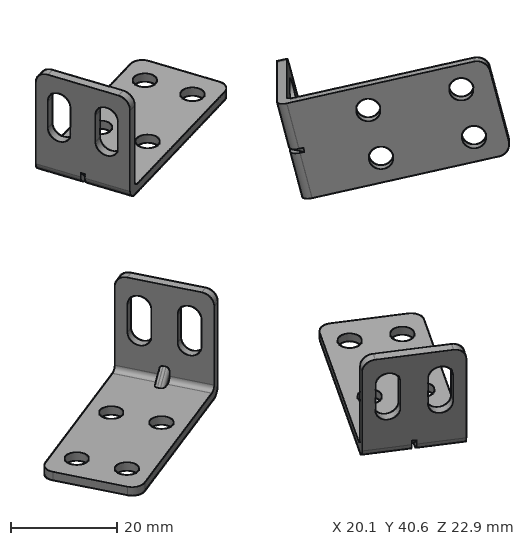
import cadquery as cq

width = 20.08
length = 40.65
height = 22.85
thickness = 1.9
outer_bend_radius = 1.9
inner_bend_radius = 1.15
corner_radius = 2.5

column_spacing = 10.1
hole_diameter = 4.6
hole_row_spacing = 18.0
hole_end_distance = 6.15
slot_width = 4.8
slot_length = 10.8
slot_top_distance = 9.0

rib_width = 2.15
rib_leg = 3.05
rib_edge_radius = 0.77
notch_width = 0.9
notch_leg = 2.8


def corner_prism(corner, leg, prism_width):
    """Right-angled 45 degree prism, centred on x = 0, with its corner at y = z = corner."""
    return (
        cq.Workplane("YZ")
        .moveTo(corner, corner)
        .lineTo(corner + leg, corner)
        .lineTo(corner, corner + leg)
        .close()
        .extrude(prism_width / 2, both=True)
    )


def bent_plate():
    base = cq.Workplane("XY").box(width, length, thickness, centered=(True, False, False))
    upright = cq.Workplane("XY").box(width, thickness, height, centered=(True, False, False))
    base = base.edges("|Z and >Y").fillet(corner_radius)
    upright = upright.edges("|Y and >Z").fillet(corner_radius)
    plate = base.union(upright)
    plate = plate.edges(cq.selectors.NearestToPointSelector((0, 0, 0))).fillet(outer_bend_radius)
    inner_corner = cq.selectors.NearestToPointSelector((0, thickness, thickness))
    return plate.edges(inner_corner).fillet(inner_bend_radius)


def base_holes():
    row_centre = length - hole_end_distance - hole_row_spacing / 2
    return (
        cq.Workplane("XY")
        .center(0, row_centre)
        .rarray(column_spacing, hole_row_spacing, 2, 2)
        .circle(hole_diameter / 2)
        .extrude(thickness)
    )


def upright_slots():
    return (
        cq.Workplane("XZ")
        .center(0, height - slot_top_distance)
        .rarray(column_spacing, 0.4, 2, 1)
        .slot2D(slot_length, slot_width, 90)
        .extrude(-thickness)
    )


def gusset_rib():
    embed = thickness / 2
    rib = corner_prism(thickness - embed, rib_leg + 2 * embed, rib_width)
    sloped_face = rib.faces(cq.selectors.DirectionMinMaxSelector(cq.Vector(0, 1, 1)))
    rib = sloped_face.edges("not |X").fillet(rib_edge_radius)
    inside = cq.Workplane("XY").box(width, length, height, centered=(True, False, False))
    return rib.intersect(inside.translate((0, embed, embed)))


result = (
    bent_plate()
    .cut(base_holes())
    .cut(upright_slots())
    .union(gusset_rib())
    .cut(corner_prism(0, notch_leg, notch_width))
)